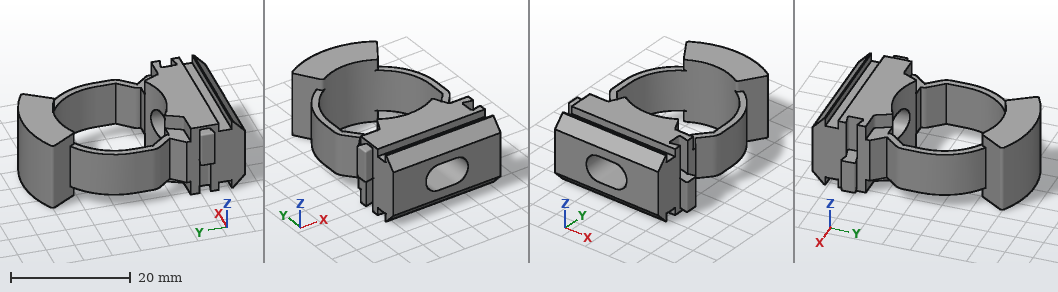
import cadquery as cq
import math

BASE_LENGTH = 21.8
BASE_HEIGHT = 13.0
BASE_FRONT_Y = 9.5

RAIL_CHAMFER_Y = 2.1
RAIL_CHAMFER_Z = 2.25
GROOVE_START_Y = 2.3
GROOVE_END_Y = 4.58
GROOVE_DEPTH = 1.45

SLOT_LENGTH = 8.55
SLOT_HEIGHT = 5.07

SADDLE_TOP_Y = 12.3
SADDLE_FLOOR_Y = 10.7
SADDLE_HALF_TOP = 5.68
SADDLE_HALF_BOTTOM = 7.02
SADDLE_FILLET = 0.5

BAND_WIDTH = 7.95
BAND_THICKNESS = 1.25
BORE_RADIUS = 10.2
BORE_CENTER_Y = 19.47
BEND_INNER_Y = 15.93
BEND_RADIUS = 2.52
WAIST_Y = 12.52
WAIST_RADIUS = 1.25
LEG_ANGLE = 40.5

HEAD_RADIUS = 16.0
HEAD_HALF_ANGLE = 33
HEAD_HEIGHT = 12.2
HEAD_FILLET = 0.5

DOVETAIL_Y = 7.0
KEY_TOTAL_SPAN = 25.2
KEY_END_WIDTH = 2.65
KEY_NECK_WIDTH = 1.9
KEY_HEIGHT = 6.0
SOCKET_DEPTH = 2.05
SOCKET_END_WIDTH = 2.9
SOCKET_NECK_WIDTH = 1.95
DOVETAIL_FILLET = 0.3

half_length = BASE_LENGTH / 2
half_height = BASE_HEIGHT / 2
key_depth = (KEY_TOTAL_SPAN - BASE_LENGTH) / 2
band_outer_radius = BORE_RADIUS + BAND_THICKNESS
leg_slope = math.tan(math.radians(LEG_ANGLE))
bend_outer_y = BEND_INNER_Y - BAND_THICKNESS * math.tan(math.radians(LEG_ANGLE / 2))
waist_outer_x = band_outer_radius - (bend_outer_y - WAIST_Y) * leg_slope
waist_inner_x = BORE_RADIUS - (BEND_INNER_Y - WAIST_Y) * leg_slope
leg_end_y = WAIST_Y - (half_length - waist_outer_x) / leg_slope
saddle_center_y = SADDLE_FLOOR_Y + BORE_RADIUS


def extrude_centered(outline, length):
    """Extrude an outline equally to both sides of its plane."""
    return outline.extrude(length / 2, both=True)


def polar_point(radius, angle_from_y):
    """Point around the bore center, with the angle in degrees from +Y toward +X."""
    angle = math.radians(angle_from_y)
    return (radius * math.sin(angle), BORE_CENTER_Y + radius * math.cos(angle))


def edges_at(x, y):
    """Selector for the upright edges at (x, y) and (-x, y)."""
    reach = 0.005
    tall = BASE_HEIGHT
    right = cq.selectors.BoxSelector((x - reach, y - reach, -tall), (x + reach, y + reach, tall))
    left = cq.selectors.BoxSelector((-x - reach, y - reach, -tall), (-x + reach, y + reach, tall))
    return right + left


def make_base():
    upper = [
        (0, half_height - RAIL_CHAMFER_Z),
        (RAIL_CHAMFER_Y, half_height),
        (GROOVE_START_Y, half_height),
        (GROOVE_START_Y, half_height - GROOVE_DEPTH),
        (GROOVE_END_Y, half_height - GROOVE_DEPTH),
        (GROOVE_END_Y, half_height),
        (BASE_FRONT_Y, half_height),
    ]
    lower = [(y, -z) for y, z in reversed(upper)]
    section = cq.Workplane("YZ").polyline(upper + lower).close()
    return extrude_centered(section, BASE_LENGTH)


def make_saddle(base):
    """Add the full-height saddle to the base and round its upright edges."""
    outline = (
        cq.Workplane("XY")
        .moveTo(-SADDLE_HALF_BOTTOM, BASE_FRONT_Y)
        .lineTo(-SADDLE_HALF_TOP, SADDLE_TOP_Y)
        .lineTo(SADDLE_HALF_TOP, SADDLE_TOP_Y)
        .lineTo(SADDLE_HALF_BOTTOM, BASE_FRONT_Y)
        .close()
    )
    body = base.union(extrude_centered(outline, BASE_HEIGHT))
    body = body.edges(edges_at(SADDLE_HALF_BOTTOM, BASE_FRONT_Y)).fillet(SADDLE_FILLET)
    return body.edges(edges_at(SADDLE_HALF_TOP, SADDLE_TOP_Y)).fillet(SADDLE_FILLET)


def make_band_blank():
    """Outer shape of the band, still solid inside."""
    outer_outline = (
        cq.Workplane("XY")
        .moveTo(-half_length, BASE_FRONT_Y)
        .lineTo(-half_length, leg_end_y)
        .lineTo(-waist_outer_x, WAIST_Y)
        .lineTo(-band_outer_radius, bend_outer_y)
        .lineTo(-band_outer_radius, BORE_CENTER_Y)
        .threePointArc(polar_point(band_outer_radius, 0), (band_outer_radius, BORE_CENTER_Y))
        .lineTo(band_outer_radius, bend_outer_y)
        .lineTo(waist_outer_x, WAIST_Y)
        .lineTo(half_length, leg_end_y)
        .lineTo(half_length, BASE_FRONT_Y)
        .close()
    )
    outer = extrude_centered(outer_outline, BAND_WIDTH)
    return outer.edges(edges_at(band_outer_radius, bend_outer_y)).fillet(BEND_RADIUS)


def make_band_opening():
    """Inside of the band, ending at the shoulder that fills it up to the saddle top."""
    flare_x = waist_inner_x + (WAIST_Y - BASE_FRONT_Y) * leg_slope
    opening_outline = (
        cq.Workplane("XY")
        .moveTo(-flare_x, BASE_FRONT_Y)
        .lineTo(-waist_inner_x, WAIST_Y)
        .lineTo(-BORE_RADIUS, BEND_INNER_Y)
        .lineTo(-BORE_RADIUS, BORE_CENTER_Y)
        .threePointArc(polar_point(BORE_RADIUS, 0), (BORE_RADIUS, BORE_CENTER_Y))
        .lineTo(BORE_RADIUS, BEND_INNER_Y)
        .lineTo(waist_inner_x, WAIST_Y)
        .lineTo(flare_x, BASE_FRONT_Y)
        .close()
    )
    opening = extrude_centered(opening_outline, BAND_WIDTH)
    opening = opening.edges(edges_at(waist_inner_x, WAIST_Y)).fillet(WAIST_RADIUS)

    shoulder_depth = SADDLE_TOP_Y - BASE_FRONT_Y
    shoulder = cq.Workplane("XY").box(BASE_LENGTH, shoulder_depth, BAND_WIDTH)
    shoulder = shoulder.translate((0, BASE_FRONT_Y + shoulder_depth / 2, 0))
    return opening.cut(shoulder)


def make_head():
    outline = (
        cq.Workplane("XY")
        .moveTo(*polar_point(BORE_RADIUS, -HEAD_HALF_ANGLE))
        .lineTo(*polar_point(HEAD_RADIUS, -HEAD_HALF_ANGLE))
        .threePointArc(polar_point(HEAD_RADIUS, 0), polar_point(HEAD_RADIUS, HEAD_HALF_ANGLE))
        .lineTo(*polar_point(BORE_RADIUS, HEAD_HALF_ANGLE))
        .threePointArc(polar_point(BORE_RADIUS, 0), polar_point(BORE_RADIUS, -HEAD_HALF_ANGLE))
        .close()
    )
    return extrude_centered(outline, HEAD_HEIGHT).edges("|Z").fillet(HEAD_FILLET)


def make_saddle_cutter():
    outline = cq.Workplane("XY").center(0, saddle_center_y).circle(BORE_RADIUS)
    trough = extrude_centered(outline, BASE_HEIGHT)
    limit = cq.Workplane("XY").box(BASE_LENGTH, SADDLE_TOP_Y, BASE_HEIGHT)
    return trough.intersect(limit.translate((0, SADDLE_TOP_Y / 2, 0)))


def make_slot_cutter():
    outline = cq.Workplane("XZ").slot2D(SLOT_LENGTH, SLOT_HEIGHT)
    return outline.extrude(-SADDLE_TOP_Y)


def dovetail(neck_x, end_x, neck_width, end_width, height):
    """Upright dovetail prism from Z = 0 upward, widening from neck_x to end_x."""
    return (
        cq.Workplane("XY")
        .polyline([
            (neck_x, DOVETAIL_Y - neck_width / 2),
            (end_x, DOVETAIL_Y - end_width / 2),
            (end_x, DOVETAIL_Y + end_width / 2),
            (neck_x, DOVETAIL_Y + neck_width / 2),
        ])
        .close()
        .extrude(height)
    )


def make_key():
    """Male dovetail on the upper half of the -X end."""
    key = dovetail(-half_length, -half_length - key_depth, KEY_NECK_WIDTH, KEY_END_WIDTH, KEY_HEIGHT)
    top_edges = key.faces(">Z").edges("not >X")
    return key.edges("<X and |Z").add(top_edges).fillet(DOVETAIL_FILLET)


def make_socket_cutter():
    """Female dovetail in the upper half of the +X end."""
    socket = dovetail(
        half_length, half_length - SOCKET_DEPTH, SOCKET_NECK_WIDTH, SOCKET_END_WIDTH, half_height
    )
    return socket.edges("<X and |Z").fillet(DOVETAIL_FILLET)


def half_turn(shape):
    """Copy turned half a turn about Y, onto the other end and the lower half."""
    return shape.rotate((0, 0, 0), (0, 1, 0), 180)


band = make_band_blank().union(make_head()).cut(make_band_opening())

body = make_saddle(make_base())
body = body.union(band)
body = body.cut(make_saddle_cutter())
body = body.cut(make_slot_cutter())

key = make_key()
socket = make_socket_cutter()
body = body.cut(socket).cut(half_turn(socket))
result = body.union(key).union(half_turn(key))